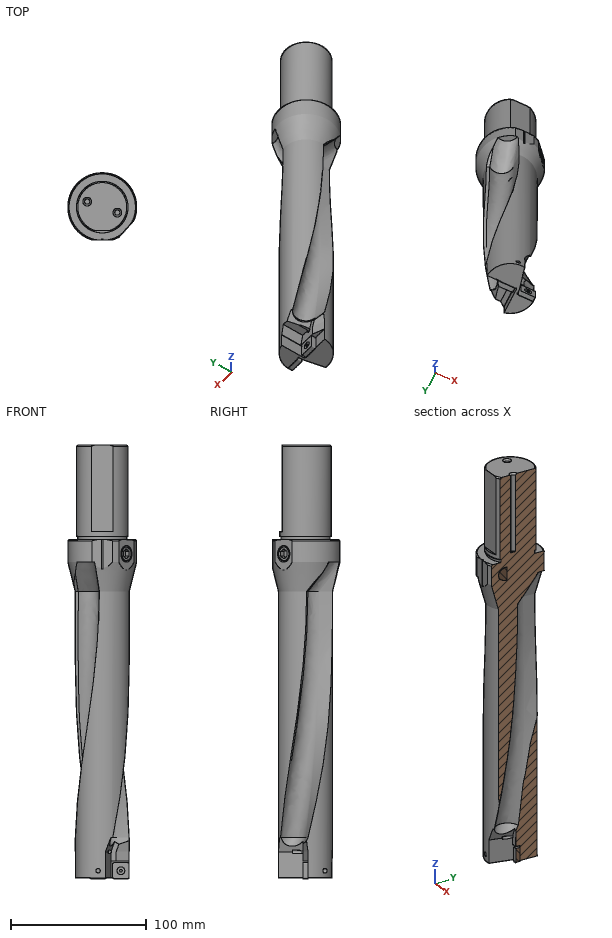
import cadquery as cq
import math


TOTAL_LENGTH = 319.5
TIP_Z = 0.5
CONE_BOTTOM_Z = 211.5
COLLAR_BOTTOM_Z = 233.3
COLLAR_TOP_Z = 250.0
UNDERCUT_HEIGHT = 2.2

BODY_RADIUS = 40.0 / 2
COLLAR_RADIUS = 50.8 / 2
SHANK_RADIUS = 38.0 / 2
UNDERCUT_RADIUS = 18.2
EDGE_CHAMFER = 1.0

SHANK_FLAT_DISTANCE = 17.3
SHANK_FLAT_BOTTOM_Z = 255.5
FRONT_FLAT_DISTANCE = 24.3
PLUG_FLAT_DISTANCE = 24.0
PLUG_FLAT_ANGLE = -42.0
MARK_WIDTH = 1.0
MARK_DEPTH = 0.5
MARK_BOTTOM_Z = 228.2

PORT_CIRCLE_RADIUS = 11.8
PORT_ANGLE = 160.0
PORT_RADIUS = 2.0
PORT_CHAMFER = 1.3
PORT_DEPTH = 64.0

FLUTE_COUNT = 2
FLUTE_BOTTOM_Z = 30.5
FLUTE_TOP_Z = CONE_BOTTOM_Z
FLUTE_START_ANGLE = 145.0
FLUTE_TWIST = 78.0
FLUTE_SECTIONS = 13
WALL_OFFSET = 1.5
ARC_RADIUS = 10.0
ARC_START = 10.2
LIP_START = 17.5
LIP_END = 20.0
LIP_OFFSET_TOP = 1.45
LIP_OFFSET_BOTTOM = 5.0
FLUTE_REACH = 28.8
RUNOUT_HEIGHT = COLLAR_BOTTOM_Z - CONE_BOTTOM_Z
RUNOUT_SLOPE = 0.8
RUNOUT_LEAN = 35.0
SCOOP_DEPTH = 8.3
SCOOP_SLOPE = 0.7

INSERT_WIDTH = 12.0
INSERT_HEIGHT = 11.8
INSERT_THICKNESS = 3.8
INSERT_CORNER = 1.0
INSERT_GAP = 1.3
SEAT_OFFSET = 2.0
INSERT_FACE_Y = SEAT_OFFSET - INSERT_THICKNESS
OUTER_INSERT_X = 13.7
OUTER_TURN = 0.0
OUTER_SEAT_TOP_Z = INSERT_HEIGHT + INSERT_GAP
INNER_INSERT_X = 3.05
INNER_TURN = 180.0
INNER_SEAT_TOP_Z = INSERT_HEIGHT
INSERT_PLACES = [
    (OUTER_INSERT_X, OUTER_TURN, OUTER_SEAT_TOP_Z),
    (INNER_INSERT_X, INNER_TURN, INNER_SEAT_TOP_Z),
]

SCREW_Z = INSERT_HEIGHT / 2
SCREW_HEAD_RADIUS = 3.0
SCREW_HEAD_DEPTH = 2.0
SCREW_RADIUS = 1.5
SCREW_LENGTH = 10.2
SCREW_SOCKET = 2.2
SCREW_SOCKET_DEPTH = 1.0

POCKET_TOP_Z = 19.8
POCKET_ROOT = OUTER_INSERT_X - INSERT_WIDTH / 2 - INSERT_GAP
POCKET_EDGE = 0.3
POCKET_SHIFT = 3.8
SHELF_BEND_X = 10.2
RELIEF_BOTTOM_Z = 11.0
RELIEF_TOP_Z = 20.8
RELIEF_SLOPE_WIDTH = 2.5

OUTLET_X = 5.5
OUTLET_Z = 19.8
OUTLET_RADIUS = 1.3
OUTLET_START_Y = -9.5
OUTLET_DEPTH = 16.0

PLUG_Z = 239.5
PLUG_RADIUS = 5.0
PLUG_LENGTH = 9.5
PLUG_SOCKET = 7.0
PLUG_SOCKET_DEPTH = 3.8
PLUG_SEAT_CHAMFER = 1.0


def turned(shape, angle):
    return shape.rotate((0, 0, 0), (0, 0, 1), angle)


def flute_copies(shape):
    """The shape and its copies, equally spaced about the axis."""
    step = 360.0 / FLUTE_COUNT
    return [turned(shape, i * step) for i in range(FLUTE_COUNT)]


def outward(angle):
    return cq.Vector(math.cos(math.radians(angle)), math.sin(math.radians(angle)), 0)


def turned_blank():
    neck_top = COLLAR_TOP_Z + UNDERCUT_HEIGHT
    return (
        cq.Workplane("XZ")
        .moveTo(0, TIP_Z)
        .lineTo(BODY_RADIUS, TIP_Z)
        .lineTo(BODY_RADIUS, CONE_BOTTOM_Z)
        .lineTo(COLLAR_RADIUS, COLLAR_BOTTOM_Z)
        .lineTo(COLLAR_RADIUS, COLLAR_TOP_Z - EDGE_CHAMFER)
        .lineTo(COLLAR_RADIUS - EDGE_CHAMFER, COLLAR_TOP_Z)
        .lineTo(UNDERCUT_RADIUS, COLLAR_TOP_Z)
        .lineTo(UNDERCUT_RADIUS, neck_top)
        .lineTo(SHANK_RADIUS, neck_top)
        .lineTo(SHANK_RADIUS, TOTAL_LENGTH - EDGE_CHAMFER)
        .lineTo(SHANK_RADIUS - EDGE_CHAMFER, TOTAL_LENGTH)
        .lineTo(0, TOTAL_LENGTH)
        .close()
        .revolve(360, (0, 0, 0), (0, 1, 0))
    )


def flat_cutter(angle, distance, bottom, top):
    """Block that leaves a flat facing `angle` at `distance` from the axis."""
    side = 2 * COLLAR_RADIUS
    block = cq.Workplane("XY").box(side, side, top - bottom, centered=(False, True, False))
    return turned(block.translate((distance, 0, bottom)), angle)


def mark_cutter():
    """Groove block, centred in Y on the flat so that half of it cuts."""
    height = COLLAR_TOP_Z - MARK_BOTTOM_Z
    block = cq.Workplane("XY").box(MARK_WIDTH, 2 * MARK_DEPTH, height, centered=(True, True, False))
    return block.translate((0, -FRONT_FLAT_DISTANCE, MARK_BOTTOM_Z))


def port_cutter():
    radius_at_rim = PORT_RADIUS + PORT_CHAMFER
    bore = cq.Solid.makeCylinder(PORT_RADIUS, PORT_DEPTH, cq.Vector(0, 0, TOTAL_LENGTH - PORT_DEPTH))
    rim = cq.Solid.makeCone(
        PORT_RADIUS, radius_at_rim, PORT_CHAMFER, cq.Vector(0, 0, TOTAL_LENGTH - PORT_CHAMFER)
    )
    return bore.fuse(rim).translate(PORT_CIRCLE_RADIUS * outward(PORT_ANGLE))


def flute_angle(z):
    """Direction in which the flute opens: the twist eases off towards the shank."""
    travel = (z - FLUTE_BOTTOM_Z) / (FLUTE_TOP_Z - FLUTE_BOTTOM_Z)
    return FLUTE_START_ANGLE + FLUTE_TWIST * math.sin(travel * math.pi / 2)


def flute_section(z):
    """Flute section at height z: flat wall, round floor and bevelled lip, opening along flute_angle(z)."""
    travel = (z - FLUTE_BOTTOM_Z) / (FLUTE_TOP_Z - FLUTE_BOTTOM_Z)
    lip_offset = LIP_OFFSET_TOP + (LIP_OFFSET_BOTTOM - LIP_OFFSET_TOP) * (1 - travel) ** 2
    arc_center = WALL_OFFSET + ARC_RADIUS
    lip_start_offset = ARC_START - math.sqrt(ARC_RADIUS**2 - (LIP_START - arc_center) ** 2)
    diagonal = ARC_RADIUS * math.sqrt(0.5)
    wire = (
        cq.Workplane("XY")
        .moveTo(WALL_OFFSET, FLUTE_REACH)
        .lineTo(WALL_OFFSET, ARC_START)
        .threePointArc((arc_center - diagonal, ARC_START - diagonal), (LIP_START, lip_start_offset))
        .lineTo(LIP_END, lip_offset)
        .lineTo(FLUTE_REACH, lip_offset)
        .lineTo(FLUTE_REACH, FLUTE_REACH)
        .close()
        .val()
    )
    return wire.rotate(cq.Vector(), cq.Vector(0, 0, 1), flute_angle(z) - 45).translate(cq.Vector(0, 0, z))


def slanted_end(z, height, slope, lean=0.0):
    """Flute end whose floor climbs outwards by `slope` per unit of height."""
    shift = abs(height) * slope * outward(flute_angle(z) + lean)
    return cq.Solid.extrudeLinear(flute_section(z), [], shift + cq.Vector(0, 0, height))


def flute_cutters():
    step = (FLUTE_TOP_Z - FLUTE_BOTTOM_Z) / (FLUTE_SECTIONS - 1)
    sections = [flute_section(FLUTE_BOTTOM_Z + i * step) for i in range(FLUTE_SECTIONS)]
    return [
        cq.Solid.makeLoft(sections),
        slanted_end(FLUTE_TOP_Z, RUNOUT_HEIGHT, RUNOUT_SLOPE, RUNOUT_LEAN),
        slanted_end(FLUTE_BOTTOM_Z, -SCOOP_DEPTH, SCOOP_SLOPE),
    ]


def tip_pocket():
    """Chip pocket, straight at the tip and leaning into the flute above.

    Its shelf is flush with the insert face.
    """
    profile = cq.Wire.makePolygon(
        [
            cq.Vector(POCKET_ROOT, INSERT_FACE_Y),
            cq.Vector(SHELF_BEND_X, INSERT_FACE_Y),
            cq.Vector(BODY_RADIUS, SEAT_OFFSET),
            cq.Vector(FLUTE_REACH, SEAT_OFFSET),
            cq.Vector(FLUTE_REACH, -FLUTE_REACH),
            cq.Vector(POCKET_EDGE, -FLUTE_REACH),
        ],
        close=True,
    )
    lean = cq.Vector(POCKET_SHIFT, 0, FLUTE_BOTTOM_Z - POCKET_TOP_Z)
    straight = cq.Solid.extrudeLinear(profile, [], cq.Vector(0, 0, POCKET_TOP_Z))
    leaning = cq.Solid.extrudeLinear(profile.translate(cq.Vector(0, 0, POCKET_TOP_Z)), [], lean)
    return [straight, leaning]


def seat_wall(center_x):
    return center_x - INSERT_WIDTH / 2 - INSERT_GAP


def insert_seat(center_x, seat_top):
    """Recess that holds an insert, open outwards and downwards."""
    seat = cq.Workplane("XY").box(FLUTE_REACH, FLUTE_REACH, seat_top, centered=False)
    return seat.translate((seat_wall(center_x), SEAT_OFFSET - FLUTE_REACH, 0))


def inner_relief():
    """Chip room above the inner insert, its end wall sloping back to the flute."""
    wall = seat_wall(INNER_INSERT_X)
    return (
        cq.Workplane("XZ", origin=(0, INSERT_FACE_Y, 0))
        .polyline(
            [
                (wall, 0),
                (FLUTE_REACH, 0),
                (FLUTE_REACH, RELIEF_TOP_Z),
                (wall + RELIEF_SLOPE_WIDTH, RELIEF_TOP_Z),
                (wall, RELIEF_BOTTOM_Z),
            ]
        )
        .close()
        .extrude(FLUTE_REACH)
    )


def screw_blank(center_x):
    """Countersunk screw without its socket, its head flush with the insert face."""
    return (
        cq.Workplane("XY")
        .polyline(
            [
                (0, 0),
                (SCREW_HEAD_RADIUS, 0),
                (SCREW_RADIUS, SCREW_HEAD_DEPTH),
                (SCREW_RADIUS, SCREW_LENGTH),
                (0, SCREW_LENGTH),
            ]
        )
        .close()
        .revolve(360, (0, 0, 0), (0, 1, 0))
        .translate((center_x, INSERT_FACE_Y, SCREW_Z))
    )


def insert_screw(center_x):
    socket = (
        cq.Workplane("XZ", origin=(center_x, INSERT_FACE_Y, SCREW_Z))
        .polygon(6, SCREW_SOCKET)
        .extrude(-SCREW_SOCKET_DEPTH)
    )
    return screw_blank(center_x).cut(socket)


def cutting_insert(center_x):
    plate = (
        cq.Workplane("XY")
        .box(INSERT_WIDTH, INSERT_THICKNESS, INSERT_HEIGHT, centered=(True, False, False))
        .edges("|Y")
        .fillet(INSERT_CORNER)
        .translate((center_x, INSERT_FACE_Y, 0))
    )
    return plate.cut(screw_blank(center_x))


def screw_hole(center_x):
    """Hole from the cutting face out through the back of the land."""
    return cq.Solid.makeCylinder(
        SCREW_RADIUS, FLUTE_REACH, cq.Vector(center_x, SEAT_OFFSET, SCREW_Z), cq.Vector(0, 1, 0)
    )


def outlet_cutter():
    return cq.Solid.makeCylinder(
        OUTLET_RADIUS, OUTLET_DEPTH, cq.Vector(OUTLET_X, OUTLET_START_Y, OUTLET_Z), cq.Vector(0, 1, 0)
    )


def placed_on_plug_flat(shape):
    """Takes a shape built along -Z from z = 0 and sets it into the plug flat."""
    upright = shape.rotate((0, 0, 0), (0, 1, 0), 90)
    return turned(upright.translate((PLUG_FLAT_DISTANCE, 0, PLUG_Z)), PLUG_FLAT_ANGLE)


def coolant_plug():
    plug = cq.Workplane("XY").circle(PLUG_RADIUS).extrude(-PLUG_LENGTH)
    socket = cq.Workplane("XY").polygon(6, PLUG_SOCKET).extrude(-PLUG_SOCKET_DEPTH)
    return placed_on_plug_flat(plug.cut(socket))


def plug_hole():
    bore = cq.Workplane("XY").circle(PLUG_RADIUS).extrude(-PLUG_LENGTH)
    rim = (
        cq.Workplane("XY")
        .circle(PLUG_RADIUS + PLUG_SEAT_CHAMFER)
        .workplane(offset=-PLUG_SEAT_CHAMFER)
        .circle(PLUG_RADIUS)
        .loft()
    )
    return placed_on_plug_flat(bore.union(rim))


def drill_body():
    body = turned_blank()
    flats = [
        flat_cutter(-90, SHANK_FLAT_DISTANCE, SHANK_FLAT_BOTTOM_Z, TOTAL_LENGTH),
        flat_cutter(-90, FRONT_FLAT_DISTANCE, CONE_BOTTOM_Z, COLLAR_TOP_Z),
        flat_cutter(PLUG_FLAT_ANGLE, PLUG_FLAT_DISTANCE, CONE_BOTTOM_Z, COLLAR_TOP_Z),
    ]
    for flat in flats:
        body = body.cut(flat)
    body = body.cut(mark_cutter()).cut(plug_hole())
    for cutter in [*flute_cutters(), *tip_pocket(), port_cutter(), outlet_cutter()]:
        for copy in flute_copies(cutter):
            body = body.cut(cq.Workplane(copy))
    for center_x, turn, seat_top in INSERT_PLACES:
        body = body.cut(turned(insert_seat(center_x, seat_top), turn))
        body = body.cut(cq.Workplane(turned(screw_hole(center_x), turn)))
    return body.cut(turned(inner_relief(), INNER_TURN))


body = drill_body()
inserts = [turned(cutting_insert(center_x), turn) for center_x, turn, _ in INSERT_PLACES]
screws = [turned(insert_screw(center_x), turn) for center_x, turn, _ in INSERT_PLACES]
plug = coolant_plug()

result = cq.Compound.makeCompound([solid.val() for solid in [body, *inserts, *screws, plug]])